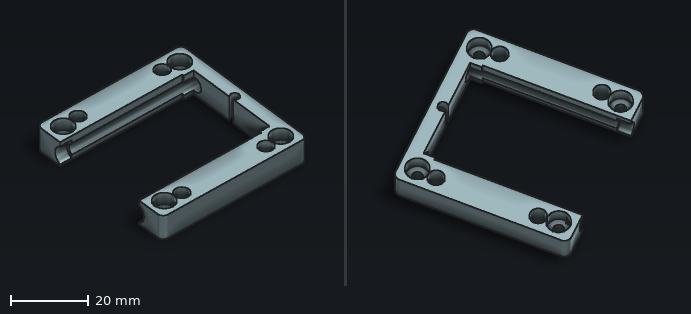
import cadquery as cq

side = 49.8
height = 8.0
corner_radius = 2.0
half_side = side / 2

opening_width = 31.2
narrow_width = 30.0
back_bar_thickness = 4.5
narrow_end_from_back = 7.8

screw_offset = 20.0
screw_diameter = 3.0
counterbore_diameter = 6.5
counterbore_floor = 4.0

plain_hole_diameter = 4.6
plain_hole_x = 20.55
plain_hole_y = 14.45

rod_diameter = 4.6
rod_x = 14.3
rod_z = 3.5
rod_recess_diameter = 6.5
rod_recess_depth = 4.0

groove_diameter = 2.8
groove_y = 21.55


def mirrored_points(x, y):
    """The four points (+-x, +-y)."""
    return [(sx * x, sy * y) for sx in (-1, 1) for sy in (-1, 1)]


def make_block():
    block = cq.Workplane("XY").box(side, side, height, centered=(True, True, False))
    return block.edges("|Z").fillet(corner_radius)


def opening_cutter(width, distance_from_back):
    """Box open at the front that stops a given distance from the back face."""
    length = side - distance_from_back
    return (
        cq.Workplane("XY")
        .center(0, -half_side + length / 2)
        .rect(width, length)
        .extrude(height)
    )


def vertical_cylinders(points, diameter, bottom=0.0):
    """Cylinders from the given level up to the top face."""
    return (
        cq.Workplane("XY", origin=(0, 0, bottom))
        .pushPoints(points)
        .circle(diameter / 2)
        .extrude(height - bottom)
    )


def rod_cylinders(diameter, length):
    """A pair of cylinders running from the front face toward +Y."""
    return (
        cq.Workplane("XZ", origin=(0, -half_side, 0))
        .pushPoints([(-rod_x, rod_z), (rod_x, rod_z)])
        .circle(diameter / 2)
        .extrude(-length)
    )


def cut_opening(body):
    body = body.cut(opening_cutter(narrow_width, back_bar_thickness))
    return body.cut(opening_cutter(opening_width, narrow_end_from_back))


def cut_screw_holes(body):
    corners = mirrored_points(screw_offset, screw_offset)
    body = body.cut(vertical_cylinders(corners, screw_diameter))
    return body.cut(vertical_cylinders(corners, counterbore_diameter, counterbore_floor))


def cut_plain_holes(body):
    points = mirrored_points(plain_hole_x, plain_hole_y)
    return body.cut(vertical_cylinders(points, plain_hole_diameter))


def cut_rod_channels(body):
    body = body.cut(rod_cylinders(rod_diameter, side))
    return body.cut(rod_cylinders(rod_recess_diameter, rod_recess_depth))


def cut_back_groove(body):
    return body.cut(vertical_cylinders([(0, groove_y)], groove_diameter))


result = make_block()
result = cut_opening(result)
result = cut_screw_holes(result)
result = cut_plain_holes(result)
result = cut_rod_channels(result)
result = cut_back_groove(result)